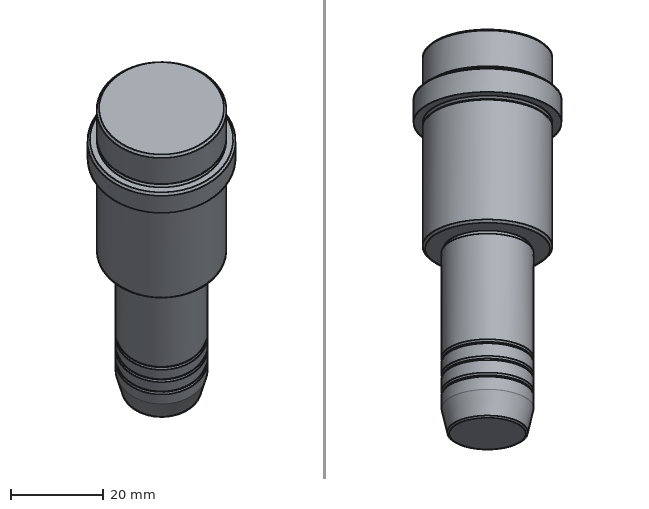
import cadquery as cq

length = 90.0
flange_radius = 16.0
body_radius = 14.0
stem_radius = 10.0
tip_radius = 8.6
edge_chamfer = 0.5
tip_chamfer = 0.4

flange_top = 80.0
flange_height = 6.0
flange_bottom = flange_top - flange_height
body_bottom = 44.0
taper_top = 6.0

neck_height = 1.0
neck_inset = 0.5

groove_width = 1.0
relief_depth = 0.5
barb_depth = 0.3
barb_pitch = 4.0
barb_count = 3
first_barb_bottom = 9.0


def cylinder(radius, bottom, top):
    """Cylinder on the Z axis between two heights."""
    return cq.Workplane("XY").workplane(offset=bottom).circle(radius).extrude(top - bottom)


def groove(radius, bottom, depth):
    """Ring that cuts a V groove into a cylinder of the given radius."""
    profile = [
        (radius, bottom),
        (radius - depth, bottom + groove_width / 2),
        (radius, bottom + groove_width),
    ]
    return cq.Workplane("XZ").polyline(profile).close().revolve(360, (0, 0, 0), (0, 1, 0))


body = cylinder(body_radius, body_bottom, length).edges().chamfer(edge_chamfer)
flange = cylinder(flange_radius, flange_bottom, flange_top).faces(">Z").edges().chamfer(edge_chamfer)

stem = (
    cylinder(stem_radius, taper_top, body_bottom)
    .faces(">Z")
    .edges()
    .chamfer(neck_height, neck_inset)
)
tip = (
    cq.Workplane("XY")
    .circle(tip_radius)
    .workplane(offset=taper_top)
    .circle(stem_radius)
    .loft(ruled=True)
    .faces("<Z")
    .edges()
    .chamfer(tip_chamfer)
)

body = body.cut(groove(body_radius, flange_top, relief_depth))
body = body.cut(groove(body_radius, flange_bottom - groove_width, relief_depth))

for index in range(barb_count):
    stem = stem.cut(groove(stem_radius, first_barb_bottom + index * barb_pitch, barb_depth))

result = body.union(flange).union(stem).union(tip)